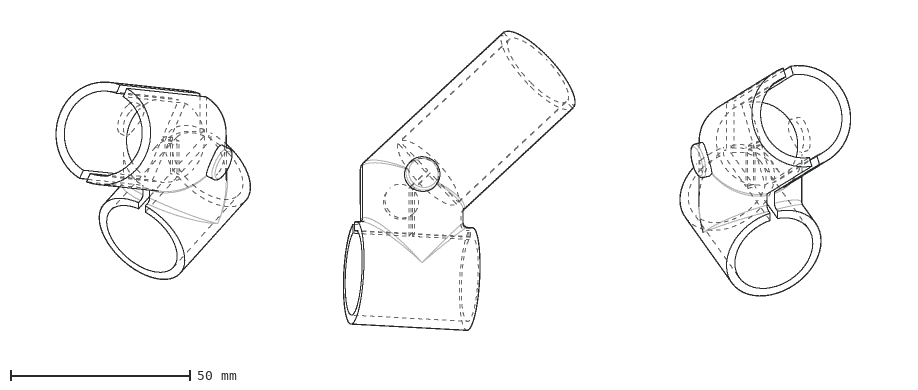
import cadquery as cq
import math

wall = 2.54
bore_diameter = 23.62
bore_radius = bore_diameter / 2
tube_radius = bore_radius + wall
base_length = 33.02
arm_length = 50.8
arm_tilt = 45.0
elbow_height = 25.4
blend_radius = 1.27

boss_diameter = 9.65
boss_span = 32.51
boss_edge_radius = 0.635

slot_width = 2.286
web_thickness = 1.016
web_arm_length = 6.6
bore_depth = arm_length - web_arm_length

tilt = math.radians(arm_tilt)
origin = cq.Vector(0, 0, 0)
post_direction = cq.Vector(0, 0, 1)
base_start = cq.Vector(0, -base_length / 2, 0)
base_direction = cq.Vector(0, 1, 0)
elbow_point = cq.Vector(0, 0, elbow_height)
arm_direction = cq.Vector(0, -math.sin(tilt), math.cos(tilt))

block_size = 4 * (base_length + arm_length)


def cylinder_from(point, direction, radius, length):
    return cq.Workplane(cq.Solid.makeCylinder(radius, length, point, direction))


def along_arm(distance):
    return elbow_point + arm_direction * distance


def blended_tee():
    """Base tube and upright post of one diameter, blended on one half and mirrored to the other."""
    base_half = cylinder_from(origin, base_direction, tube_radius, base_length / 2)
    post = cylinder_from(origin, post_direction, tube_radius, 2 * elbow_height)
    half_space = cq.Workplane("XY").box(block_size, block_size, block_size, centered=(True, False, True))
    half = base_half.union(post.intersect(half_space))
    half = half.edges("%ELLIPSE").fillet(blend_radius)
    return half.union(half.mirror("XZ"))


def miter_half_space():
    """Large block below the plane that halves the bend angle at the elbow."""
    return (
        cq.Workplane("XY")
        .box(block_size, block_size, block_size, centered=(True, True, False))
        .translate((0, 0, -block_size))
        .rotate((0, 0, 0), (1, 0, 0), arm_tilt / 2)
        .translate(elbow_point.toTuple())
    )


def elbow():
    """Tee and tilted arm, joined on the miter plane."""
    below_miter = miter_half_space()
    arm = cylinder_from(along_arm(-tube_radius), arm_direction, tube_radius, tube_radius + arm_length)
    return blended_tee().intersect(below_miter).union(arm.cut(below_miter))


def bosses():
    """Round bosses on both sides of the elbow, made as one bar through it."""
    return (
        cq.Workplane("YZ", origin=(-boss_span / 2, 0, elbow_height))
        .circle(boss_diameter / 2)
        .extrude(boss_span)
        .faces("<X or >X")
        .edges()
        .fillet(boss_edge_radius)
    )


def blend_miter(body):
    """Round the miter edge, which the bosses interrupt on both sides."""
    return body.edges("%ELLIPSE").fillet(blend_radius)


def web():
    """Thin wall along the post and arm axes, bent at the elbow and as wide as the slot."""
    half = web_thickness / 2
    bend_shift = half * math.tan(tilt / 2)
    tip = along_arm(web_arm_length)
    tip_offset = cq.Vector(0, half * math.cos(tilt), half * math.sin(tilt))
    upper_tip = tip + tip_offset
    lower_tip = tip - tip_offset
    return (
        cq.Workplane("YZ")
        .polyline(
            [
                (-half, 0),
                (half, 0),
                (half, elbow_height + bend_shift),
                (upper_tip.y, upper_tip.z),
                (lower_tip.y, lower_tip.z),
                (-half, elbow_height - bend_shift),
            ]
        )
        .close()
        .extrude(slot_width / 2, both=True)
    )


def slot():
    """Slot from the base bore upward, leaving the web standing."""
    opening = cq.Workplane("XY").box(slot_width, block_size, block_size, centered=(True, True, False))
    return opening.cut(web())


def base_bore():
    """Bore through the whole base tube."""
    return cylinder_from(base_start, base_direction, bore_radius, base_length)


def arm_bore():
    """Blind bore whose floor is level with the tip of the web."""
    return cylinder_from(along_arm(web_arm_length), arm_direction, bore_radius, bore_depth)


body = blend_miter(elbow().union(bosses()))
result = body.cut(slot()).cut(base_bore()).cut(arm_bore())